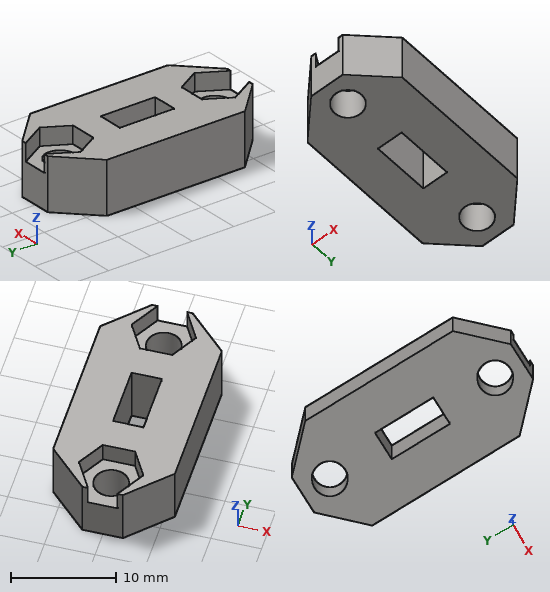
import cadquery as cq
import math

width = 12.0
length = 24.5
height = 6.0
corner_cut = 4.0

hole_spacing = 18.5
hole_diameter = 3.4
nut_across_flats = 5.5
nut_pocket_depth = 2.0

window_width = 3.0
window_length = 6.5

hole_y = hole_spacing / 2
nut_apothem = nut_across_flats / 2
nut_corner_radius = nut_apothem / math.cos(math.pi / 6)
pocket_floor = height - nut_pocket_depth
hole_to_plate_end = length / 2 - hole_y


def make_plate():
    plate = cq.Workplane("XY").box(width, length, height, centered=(True, True, False))
    return plate.edges("|Z").chamfer(corner_cut)


def make_window():
    return cq.Workplane("XY").rect(window_width, window_length).extrude(height)


def nut_half_width(distance):
    """Half width along X of the hexagon's slanted sides, at a distance along Y from the hole."""
    return nut_corner_radius - distance * math.tan(math.pi / 6)


def make_screw_seat():
    """Hole and nut pocket at the +Y end; the hexagon's outer sides run on through the plate end."""
    inner_half_width = nut_half_width(nut_apothem)
    end_half_width = nut_half_width(hole_to_plate_end)
    pocket = (
        cq.Workplane("XY", origin=(0, hole_y, pocket_floor))
        .moveTo(-inner_half_width, -nut_apothem)
        .lineTo(inner_half_width, -nut_apothem)
        .lineTo(nut_corner_radius, 0)
        .lineTo(end_half_width, hole_to_plate_end)
        .lineTo(-end_half_width, hole_to_plate_end)
        .lineTo(-nut_corner_radius, 0)
        .close()
        .extrude(nut_pocket_depth)
    )
    hole = cq.Workplane("XY", origin=(0, hole_y, 0)).circle(hole_diameter / 2).extrude(height)
    return hole.union(pocket)


screw_seat = make_screw_seat()
result = make_plate().cut(make_window()).cut(screw_seat).cut(screw_seat.mirror("XZ"))